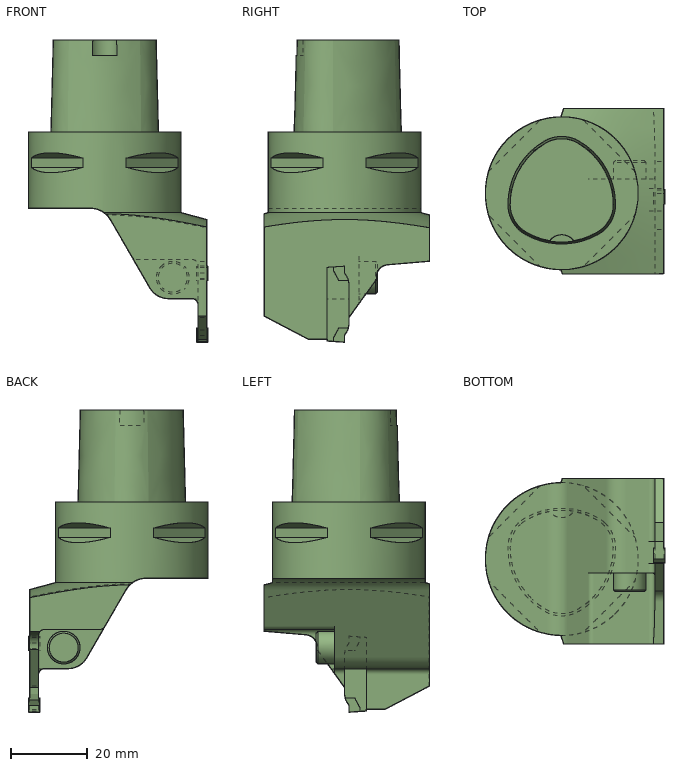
import cadquery as cq
import math


SHANK_HEIGHT = 24.0
SHANK_BASE_RADIUS = 14.1
SHANK_LOBE_OFFSET = 5.9
SHANK_TAPER_RATIO = 1 / 40
KEYWAY_RADIUS = 3.9
KEYWAY_DEPTH = 4.1
KEYWAY_CENTRE_Y = -14.7

FLANGE_DIAMETER = 40.0
FLANGE_RADIUS = FLANGE_DIAMETER / 2
FLANGE_BOTTOM_Z = -20.0
GROOVE_COUNT = 4
GROOVE_FLOOR_DISTANCE = 17.5
GROOVE_CENTRE_Z = -8.05
GROOVE_FLOOR_WIDTH = 2.4
GROOVE_WALL_ANGLE = 30.0

SHOULDER_Z = -21.1
SHOULDER_ANGLE = 15.0
SHOULDER_OUTER_RADIUS = 47.4

HEAD_BACK_X = -9.5
HEAD_MIN_Y = -21.1
HEAD_STEP_Y = 3.7
HEAD_MAX_Y = 22.2
HEAD_BOTTOM_Z = -43.6
WING_BOTTOM_Z = -33.3
SLOPE_ANGLE = 60.0
SLOPE_TOP_X = -0.2
SLOPE_TOP_RADIUS = 6.0
HEAD_CORNER_RADIUS = 5.8
STEP_FILLET_RADIUS = 0.5
WING_CORNER_RADIUS = 1.6
BLADE_ROOT_RADIUS = 1.5

BLADE_MIN_X = 24.3
BLADE_MAX_X = 26.7
BLADE_THICKNESS = BLADE_MAX_X - BLADE_MIN_X
BLADE_CENTRE_X = (BLADE_MIN_X + BLADE_MAX_X) / 2
BLADE_BOTTOM_Z = -54.2
BLADE_CHAMFER_TOP_Z = -48.1
BLADE_CHAMFER_END_Y = -9.5
BLADE_RELIEF_WIDTH = 1.3
BLADE_RELIEF_RADIUS = 7.9
WING_EDGE_Z = -33.8
FINGER_ROOT = (8.3, -35.0)
FINGER_ROOT_RADIUS = 3.15
FINGER_BEND_Z = -38.55
FINGER_TIP_Z = -48.4

BOSS_DIAMETER = 8.5
BOSS_CENTRE_X = 17.8
BOSS_CENTRE_Z = -38.1
BOSS_END_Y = 8.5
BOSS_CHAMFER = 0.5

INSERT_TIP_Z = -55.0
INSERT_MIDDLE_Z = -45.0
INSERT_TOP_Y = 1.2
INSERT_BOTTOM_Y = -4.6
INSERT_HEEL_RISE = 0.3
RAKE_STEPS = [(INSERT_TOP_Y, -50.25), (0.9, -51.75), (0.0, -53.2)]
CUTTING_WIDTH = 3.0
CUTTING_CORNER_RADIUS = 0.2
CUTTING_HEAD_TOP_Z = -51.2
CUTTING_HEAD_BACK_TOP_Y = -1.5
CUTTING_HEAD_BACK_BOTTOM = (-2.85, -53.7)


def corner_arc(before, corner, after, radius):
    """Start, middle and end of the arc that rounds a corner between two straight sides."""
    to_before = cq.Vector(*before) - cq.Vector(*corner)
    to_after = cq.Vector(*after) - cq.Vector(*corner)
    half_angle = to_before.getAngle(to_after) / 2
    tangent_length = radius / math.tan(half_angle)
    middle_distance = radius / math.sin(half_angle) - radius
    bisector = (to_before.normalized() + to_after.normalized()).normalized()
    start = cq.Vector(*corner) + to_before.normalized() * tangent_length
    middle = cq.Vector(*corner) + bisector * middle_distance
    end = cq.Vector(*corner) + to_after.normalized() * tangent_length
    return [(point.x, point.y) for point in (start, middle, end)]


def rounded_outline(plane, corners):
    """Closed outline through (point, radius) corners; radius 0 is sharp, as the first must be."""
    points = [point for point, _ in corners]
    outline = plane.moveTo(*points[0])
    for i in range(1, len(corners)):
        corner, radius = corners[i]
        if radius == 0:
            outline = outline.lineTo(*corner)
            continue
        following = points[(i + 1) % len(points)]
        start, middle, end = corner_arc(points[i - 1], corner, following, radius)
        outline = outline.lineTo(*start).threePointArc(middle, end)
    return outline.close()


def polar(centre, radius, angle):
    """Point at an angle in degrees on a circle."""
    turn = math.radians(angle)
    return (centre[0] + radius * math.cos(turn), centre[1] + radius * math.sin(turn))


def shank_wire(height):
    """Rounded triangle, made of three lobe arcs and three flatter arcs, at a height above the flange."""
    mean_radius = SHANK_BASE_RADIUS - SHANK_TAPER_RATIO * height
    half_side = SHANK_LOBE_OFFSET * math.sqrt(3) / 2
    lobe_radius = mean_radius - half_side
    flat_radius = mean_radius + half_side
    axis = (0, 0)
    first_centre = polar(axis, SHANK_LOBE_OFFSET, 90)
    outline = cq.Workplane("XY", origin=(0, 0, height)).moveTo(*polar(first_centre, lobe_radius, 60))
    for lobe_angle in (90, 210, 330):
        lobe_centre = polar(axis, SHANK_LOBE_OFFSET, lobe_angle)
        outline = outline.threePointArc(
            polar(lobe_centre, lobe_radius, lobe_angle),
            polar(lobe_centre, lobe_radius, lobe_angle + 30),
        )
        flat_angle = lobe_angle + 60
        opposite_centre = polar(axis, SHANK_LOBE_OFFSET, flat_angle + 180)
        outline = outline.threePointArc(
            polar(opposite_centre, flat_radius, flat_angle),
            polar(opposite_centre, flat_radius, flat_angle + 30),
        )
    return outline.close().val()


def make_shank():
    shank = cq.Workplane(cq.Solid.makeLoft([shank_wire(0), shank_wire(SHANK_HEIGHT)], True))
    keyway = (
        cq.Workplane("XY", origin=(0, KEYWAY_CENTRE_Y, SHANK_HEIGHT - KEYWAY_DEPTH))
        .circle(KEYWAY_RADIUS)
        .extrude(KEYWAY_DEPTH)
    )
    return shank.cut(keyway)


def flange_groove(angle):
    """Trapezoidal groove cut straight across the rim of the flange."""
    depth = FLANGE_RADIUS - GROOVE_FLOOR_DISTANCE
    half_floor = GROOVE_FLOOR_WIDTH / 2
    half_mouth = half_floor + depth * math.tan(math.radians(GROOVE_WALL_ANGLE))
    return (
        cq.Workplane("XZ")
        .moveTo(GROOVE_FLOOR_DISTANCE, GROOVE_CENTRE_Z - half_floor)
        .lineTo(FLANGE_RADIUS, GROOVE_CENTRE_Z - half_mouth)
        .lineTo(FLANGE_RADIUS, GROOVE_CENTRE_Z + half_mouth)
        .lineTo(GROOVE_FLOOR_DISTANCE, GROOVE_CENTRE_Z + half_floor)
        .close()
        .extrude(FLANGE_RADIUS, both=True)
        .rotate((0, 0, 0), (0, 0, 1), angle)
    )


def make_flange():
    flange = cq.Workplane("XY").circle(FLANGE_RADIUS).extrude(FLANGE_BOTTOM_Z)
    for i in range(GROOVE_COUNT):
        flange = flange.cut(flange_groove(45 + i * 360 / GROOVE_COUNT))
    return flange


def head_section(bottom_z, corner_radius, start_y, end_y):
    """Slice of head and blade between two Y positions, with a sloping face and a flat underside."""
    slope_run = (FLANGE_BOTTOM_Z - bottom_z) / math.tan(math.radians(SLOPE_ANGLE))
    corners = [
        ((HEAD_BACK_X, FLANGE_BOTTOM_Z), 0),
        ((SLOPE_TOP_X, FLANGE_BOTTOM_Z), SLOPE_TOP_RADIUS),
        ((SLOPE_TOP_X + slope_run, bottom_z), corner_radius),
        ((BLADE_MIN_X, bottom_z), BLADE_ROOT_RADIUS),
        ((BLADE_MIN_X, BLADE_BOTTOM_Z), 0),
        ((BLADE_MAX_X, BLADE_BOTTOM_Z), 0),
        ((BLADE_MAX_X, 0), 0),
        ((HEAD_BACK_X, 0), 0),
    ]
    return rounded_outline(cq.Workplane("XZ", origin=(0, start_y, 0)), corners).extrude(start_y - end_y)


def shoulder_envelope():
    """Space below the flange bottom: a short cylinder that spreads into the conical shoulder."""
    cone_drop = (SHOULDER_OUTER_RADIUS - FLANGE_RADIUS) * math.tan(math.radians(SHOULDER_ANGLE))
    return (
        cq.Workplane("XZ")
        .moveTo(0, FLANGE_BOTTOM_Z)
        .lineTo(FLANGE_RADIUS, FLANGE_BOTTOM_Z)
        .lineTo(FLANGE_RADIUS, SHOULDER_Z)
        .lineTo(SHOULDER_OUTER_RADIUS, SHOULDER_Z - cone_drop)
        .lineTo(SHOULDER_OUTER_RADIUS, BLADE_BOTTOM_Z)
        .lineTo(0, BLADE_BOTTOM_Z)
        .close()
        .revolve(360, (0, 0, 0), (0, 1, 0))
    )


def blade_envelope():
    """Side outline of head and blade: chamfered front corner, clamping finger and wing."""
    corners = [
        ((HEAD_MIN_Y, 0), 0),
        ((HEAD_MIN_Y, BLADE_CHAMFER_TOP_Z), 0),
        ((BLADE_CHAMFER_END_Y, BLADE_BOTTOM_Z), 0),
        ((INSERT_BOTTOM_Y, BLADE_BOTTOM_Z), 0),
        ((INSERT_BOTTOM_Y, FINGER_TIP_Z), 0),
        ((INSERT_TOP_Y, FINGER_TIP_Z), 0),
        ((FINGER_ROOT[0], FINGER_BEND_Z), 0),
        (FINGER_ROOT, FINGER_ROOT_RADIUS),
        ((HEAD_MAX_Y, WING_EDGE_Z), 0),
        ((HEAD_MAX_Y, 0), 0),
    ]
    return rounded_outline(cq.Workplane("YZ"), corners).extrude(BLADE_MAX_X, both=True)


def edge_relief():
    """Sliver that rounds the front face gently towards the +X side."""
    start_x = BLADE_MAX_X - BLADE_RELIEF_WIDTH
    end_y = HEAD_MIN_Y + BLADE_RELIEF_RADIUS - math.sqrt(BLADE_RELIEF_RADIUS**2 - BLADE_RELIEF_WIDTH**2)
    return (
        cq.Workplane("XY")
        .moveTo(start_x, HEAD_MIN_Y)
        .radiusArc((BLADE_MAX_X, end_y), -BLADE_RELIEF_RADIUS)
        .lineTo(BLADE_MAX_X, HEAD_MIN_Y)
        .close()
        .extrude(BLADE_BOTTOM_Z)
    )


def make_boss():
    return (
        cq.Workplane("XZ", origin=(BOSS_CENTRE_X, HEAD_STEP_Y, BOSS_CENTRE_Z))
        .circle(BOSS_DIAMETER / 2)
        .extrude(HEAD_STEP_Y - BOSS_END_Y)
        .faces(">Y")
        .chamfer(BOSS_CHAMFER)
    )


def step_fillet():
    """Concave fillet in the upright corner between the step wall and the blade."""
    return (
        cq.Workplane("XY", origin=(0, 0, WING_BOTTOM_Z))
        .moveTo(BLADE_MIN_X, HEAD_STEP_Y)
        .lineTo(BLADE_MIN_X - STEP_FILLET_RADIUS, HEAD_STEP_Y)
        .radiusArc((BLADE_MIN_X, HEAD_STEP_Y + STEP_FILLET_RADIUS), -STEP_FILLET_RADIUS)
        .close()
        .extrude(HEAD_BOTTOM_Z - WING_BOTTOM_Z)
    )


def make_head():
    deep_part = head_section(HEAD_BOTTOM_Z, HEAD_CORNER_RADIUS, HEAD_MIN_Y, HEAD_STEP_Y)
    wing = head_section(WING_BOTTOM_Z, WING_CORNER_RADIUS, HEAD_STEP_Y, HEAD_MAX_Y)
    head = deep_part.union(wing).union(step_fillet())
    head = head.intersect(shoulder_envelope()).intersect(blade_envelope())
    return head.cut(edge_relief()).union(make_boss())


def insert_side(width):
    """Lower half of the insert's side outline, as a slab centred on the blade."""
    return (
        cq.Workplane("YZ", origin=(BLADE_CENTRE_X, 0, 0))
        .moveTo(INSERT_TOP_Y, INSERT_MIDDLE_Z)
        .polyline(RAKE_STEPS, includeCurrent=True)
        .lineTo(RAKE_STEPS[-1][0], INSERT_TIP_Z)
        .lineTo(INSERT_BOTTOM_Y, INSERT_TIP_Z + INSERT_HEEL_RISE)
        .lineTo(INSERT_BOTTOM_Y, INSERT_MIDDLE_Z)
        .close()
        .extrude(width / 2, both=True)
    )


def cutting_head():
    """Wide end of the insert, with rounded corners along the cutting edge."""
    zone = (
        cq.Workplane("YZ", origin=(BLADE_CENTRE_X, 0, 0))
        .moveTo(INSERT_TOP_Y, CUTTING_HEAD_TOP_Z)
        .lineTo(CUTTING_HEAD_BACK_TOP_Y, CUTTING_HEAD_TOP_Z)
        .lineTo(*CUTTING_HEAD_BACK_BOTTOM)
        .lineTo(CUTTING_HEAD_BACK_BOTTOM[0], INSERT_TIP_Z)
        .lineTo(INSERT_TOP_Y, INSERT_TIP_Z)
        .close()
        .extrude(CUTTING_WIDTH / 2, both=True)
    )
    head = insert_side(CUTTING_WIDTH).intersect(zone)
    end_sides = head.faces("<Z").edges("<X or >X")
    return head.newObject(end_sides.vals()).fillet(CUTTING_CORNER_RADIUS)


def make_insert():
    lower_half = insert_side(BLADE_THICKNESS).union(cutting_head())
    upper_half = lower_half.mirror("XY", (0, 0, INSERT_MIDDLE_Z))
    return lower_half.union(upper_half)


def slot_clearance():
    """Gap through the root fillet that leaves the -X side of the insert free."""
    return cq.Workplane("XY").box(
        BLADE_ROOT_RADIUS,
        INSERT_TOP_Y - INSERT_BOTTOM_Y,
        BLADE_ROOT_RADIUS,
        centered=False,
    ).translate((BLADE_MIN_X - BLADE_ROOT_RADIUS, INSERT_BOTTOM_Y, HEAD_BOTTOM_Z - BLADE_ROOT_RADIUS))


insert = make_insert()
holder = (
    make_shank()
    .union(make_flange())
    .union(make_head())
    .cut(slot_clearance())
    .cut(insert)
)

result = cq.Compound.makeCompound([holder.solids().val(), insert.solids().val()])